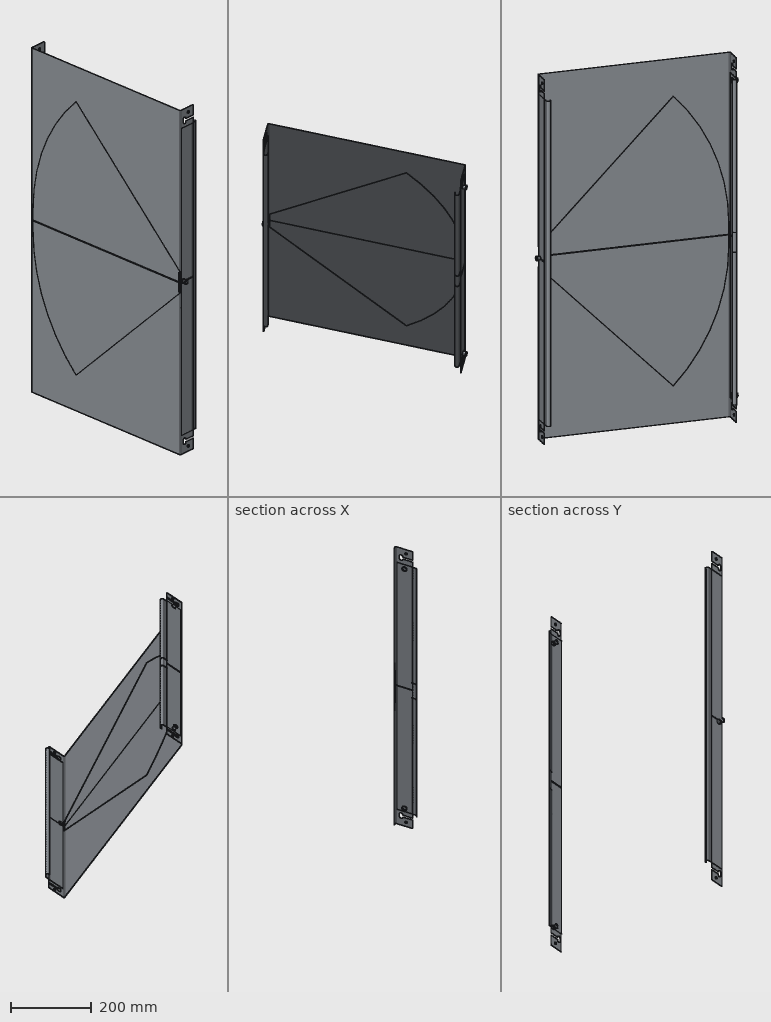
import cadquery as cq
import math

overall_height = 960.0
overall_width = 525.0
overall_depth = 62.0
panel_width = 505.0
sheet = 1.4

half_height = overall_height / 2
half_width = panel_width / 2
flange_depth = 48.0
bend_radius = 3.0
joint_gap = 2.0
flange_corner = 3.0
cut_margin = 10.0

small_hole_y = 30.0
small_hole_z = 466.0
small_hole_diameter = 7.0
keyhole_y = 16.0
keyhole_z = 447.0
keyhole_width = 10.0
keyhole_length = 18.0
entry_width = 7.0

relief_inset = 6.0
relief_depth = 5.0
relief_half_height = 27.0

rail_half_height = 428.0
rail_base = 6.0
rail_lip_end = 54.0
rail_hook_reach = 14.0
joggle_start = 45.0
joggle_end = 51.0
joggle_offset = 0.5
straight_half_height = 26.0

fan_x = half_width - bend_radius
fan_z = 30.0
fan_radius = 497.0
fan_angle = math.radians(45)

shank_diameter = 10.0
head_diameter = 12.0
head_length = 4.0
head_chamfer = 2.0
collar_diameter = 13.0
collar_length = 3.0
left_pin_y = 27.0
left_pin_z = 415.0
right_pin_y = 13.0
LEFT, RIGHT = -1, 1
pin_places = [
    (LEFT, left_pin_y, left_pin_z),
    (LEFT, left_pin_y, -left_pin_z),
    (RIGHT, right_pin_y, 0),
]


def box_between(low, high):
    """Box between two opposite corners."""
    size = [b - a for a, b in zip(low, high)]
    return cq.Workplane("XY").box(*size, centered=False).translate(low)


def cylinder_along_x(diameter, start_x, end_x, y, z):
    """Cylinder parallel to X between two X positions."""
    axis_start = cq.Workplane("YZ", origin=(start_x, y, z))
    return axis_start.circle(diameter / 2).extrude(end_x - start_x)


def cut_pin_holes(body):
    """Cut the shank hole of every pin; places the body does not reach stay unchanged."""
    for side, y, z in pin_places:
        inner_x = side * (half_width - cut_margin)
        outer_x = side * (half_width + cut_margin)
        body = body.cut(cylinder_along_x(shank_diameter, inner_x, outer_x, y, z))
    return body


def flange_openings():
    """Small hole and open keyhole slot, passing through both flanges of the upper tray."""
    through = 2 * (half_width + cut_margin)
    flanges = cq.Workplane("YZ", origin=(-through / 2, 0, 0))
    hole = flanges.center(small_hole_y, small_hole_z).circle(small_hole_diameter / 2).extrude(through)
    keyhole = flanges.center(keyhole_y, keyhole_z).slot2D(keyhole_length, keyhole_width, 90).extrude(through)
    entry = box_between(
        (-through / 2, keyhole_y, keyhole_z - entry_width / 2),
        (through / 2, flange_depth + cut_margin, keyhole_z + entry_width / 2),
    )
    return hole.union(keyhole).union(entry)


def upper_tray():
    """Panel above the joint, with a flange folded back along each side."""
    bottom = joint_gap / 2
    outside = box_between((-half_width, 0, bottom), (half_width, flange_depth, half_height))
    outside = outside.edges("|Z and <Y").fillet(bend_radius)
    inner_half = half_width - sheet
    inside = box_between((-inner_half, sheet, bottom), (inner_half, flange_depth + cut_margin, half_height))
    inside = inside.edges("|Z and <Y").fillet(bend_radius - sheet)
    tray = outside.cut(inside)
    tray = tray.edges("|X and >Y and >Z").fillet(flange_corner)
    tray = tray.cut(flange_openings())
    relief = box_between(
        (half_width - relief_inset, 0, 0),
        (half_width, relief_depth, relief_half_height),
    )
    return cut_pin_holes(tray.cut(relief))


def rail_stretch(offset, low_z, high_z):
    """Length of left rail whose upper wall steps inward by the offset and ends in a hook."""
    wall = -half_width + sheet
    upper = wall + offset
    lip = -half_width + rail_hook_reach
    middle = (upper + lip) / 2
    curl_y = overall_depth - (lip - upper) / 2
    profile = (
        cq.Workplane("XY", origin=(0, 0, low_z))
        .moveTo(wall, rail_base)
        .lineTo(wall, joggle_start)
        .lineTo(upper, joggle_end)
        .lineTo(upper, curl_y)
        .threePointArc((middle, overall_depth), (lip, curl_y))
        .lineTo(lip, rail_lip_end)
        .lineTo(lip - sheet, rail_lip_end)
        .lineTo(lip - sheet, curl_y)
        .threePointArc((middle, overall_depth - sheet), (upper + sheet, curl_y))
        .lineTo(upper + sheet, joggle_end)
        .lineTo(wall + sheet, joggle_start)
        .lineTo(wall + sheet, rail_base)
        .close()
    )
    return profile.extrude(high_z - low_z)


def left_rail():
    """Hook rail with a straight-walled stretch between two joggled ones."""
    rail = rail_stretch(0, -straight_half_height, straight_half_height)
    rail = rail.union(rail_stretch(joggle_offset, straight_half_height, rail_half_height))
    rail = rail.union(rail_stretch(joggle_offset, -rail_half_height, -straight_half_height))
    return cut_pin_holes(rail)


def right_rail():
    """Hook rail joggled along its whole length."""
    rail = rail_stretch(joggle_offset, -rail_half_height, rail_half_height).mirror("YZ")
    return cut_pin_holes(rail)


def fan_plate():
    """Flat plate on the back of both trays: two equal sectors joined by a strip across the joint."""
    def arc_point(angle):
        return fan_x - fan_radius * math.cos(angle), fan_z + fan_radius * math.sin(angle)

    start_x, start_z = arc_point(0)
    middle_x, middle_z = arc_point(fan_angle / 2)
    end_x, end_z = arc_point(fan_angle)
    outline = (
        cq.Workplane("XZ", origin=(0, sheet, 0))
        .moveTo(fan_x, fan_z)
        .lineTo(end_x, end_z)
        .threePointArc((middle_x, middle_z), (start_x, start_z))
        .lineTo(start_x, -start_z)
        .threePointArc((middle_x, -middle_z), (end_x, -end_z))
        .lineTo(fan_x, -fan_z)
        .close()
    )
    return outline.extrude(-sheet)


def pin(side, y, z):
    """Headed pin through a flange and its rail, with a collar against the inside of the rail."""
    tip = overall_width / 2
    seat = half_width - 2 * sheet
    head = cylinder_along_x(head_diameter, tip - head_length, tip, y, z)
    head = head.faces(">X").chamfer(head_chamfer)
    shank = cylinder_along_x(shank_diameter, seat, tip - head_length, y, z)
    collar = cylinder_along_x(collar_diameter, seat - collar_length, seat, y, z)
    body = head.union(shank).union(collar)
    return body if side == RIGHT else body.mirror("YZ")


top_tray = upper_tray()
bottom_tray = top_tray.mirror("XY")
pins = [pin(side, y, z) for side, y, z in pin_places]

result = cq.Compound.makeCompound([
    top_tray.val(),
    bottom_tray.val(),
    left_rail().val(),
    right_rail().val(),
    fan_plate().val(),
    *[each.val() for each in pins],
])